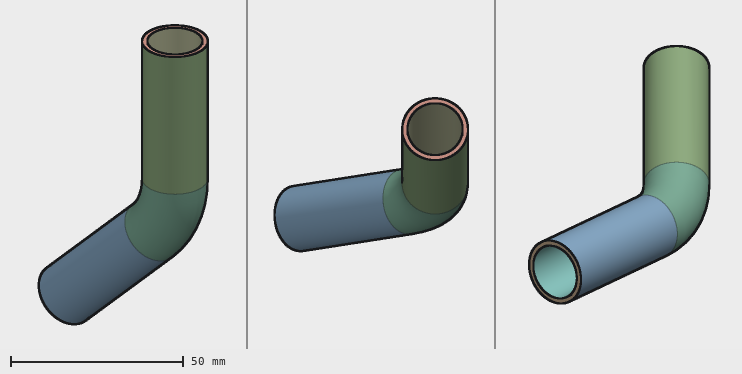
import cadquery as cq
import math

overall_height = 104.4
outer_diameter = 19.1
wall = 1.6
bend_radius = 28.6
bend_angle = 45.0

outer_radius = outer_diameter / 2
inner_radius = outer_radius - wall
bend_sin = math.sin(math.radians(bend_angle))
bend_cos = math.cos(math.radians(bend_angle))

leg_length = (overall_height - (bend_radius + outer_radius) * bend_sin) / (1 + bend_cos)


def bend_point(angle):
    """Centreline point (x, z) after turning by angle degrees; the bend starts at the origin."""
    turn = math.radians(angle)
    return (-bend_radius * (1 - math.cos(turn)), -bend_radius * math.sin(turn))


bend_end = bend_point(bend_angle)
slanted_end = (bend_end[0] - leg_length * bend_sin, bend_end[1] - leg_length * bend_cos)
centreline = (
    cq.Workplane("XZ")
    .moveTo(0, leg_length)
    .lineTo(0, 0)
    .threePointArc(bend_point(bend_angle / 2), bend_end)
    .lineTo(*slanted_end)
)

result = (
    cq.Workplane("XY", origin=(0, 0, leg_length))
    .circle(outer_radius)
    .circle(inner_radius)
    .sweep(centreline)
)